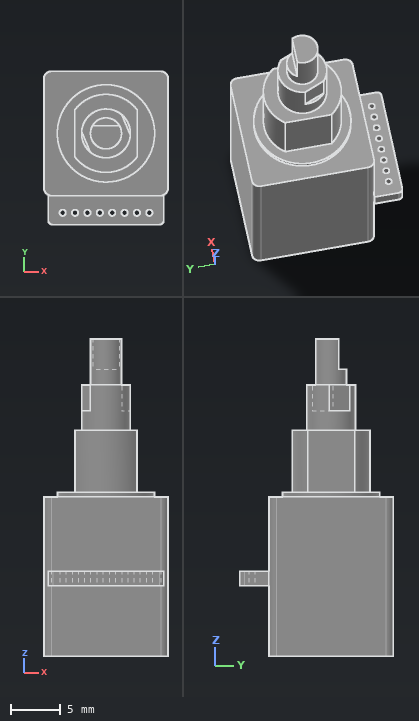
import cadquery as cq

body_side = 12.7
body_height = 16.25
body_corner_radius = 0.78

flange_diameter = 9.95
flange_height = 0.5
bushing_diameter = 7.95
bushing_across_flats = 6.35
bushing_height = 6.3
sleeve_diameter = 5.0
sleeve_height = 4.63
total_height = 32.38
shaft_diameter = 3.17

sleeve_across_flats = 4.45
sleeve_flat_length = 2.65
sleeve_flat_angle = 23.0
shaft_flat_depth = shaft_diameter / 4
shaft_flat_length = 3.1

board_width = 11.82
board_reach = 2.98
board_thickness = 1.5
board_bottom = 7.2
board_corner_radius = 0.5
hole_count = 8
hole_pitch = 1.25
hole_diameter = 0.6
hole_offset = 1.75

flange_top = body_height + flange_height
bushing_top = flange_top + bushing_height
sleeve_top = bushing_top + sleeve_height


def cylinder(diameter, bottom, top):
    return cq.Workplane("XY").workplane(offset=bottom).circle(diameter / 2).extrude(top - bottom)


def flatted_cylinder(diameter, across_flats, bottom, top):
    """Cylinder cut by two parallel flats facing +X and -X."""
    flat_slab = (
        cq.Workplane("XY")
        .workplane(offset=bottom)
        .rect(across_flats, diameter)
        .extrude(top - bottom)
    )
    return cylinder(diameter, bottom, top).intersect(flat_slab)


def make_body():
    body = cq.Workplane("XY").rect(body_side, body_side).extrude(body_height)
    return body.edges("|Z").fillet(body_corner_radius)


def make_sleeve():
    flat_bottom = sleeve_top - sleeve_flat_length
    round_part = cylinder(sleeve_diameter, bushing_top, flat_bottom)
    flat_part = flatted_cylinder(sleeve_diameter, sleeve_across_flats, flat_bottom, sleeve_top)
    flat_part = flat_part.rotate((0, 0, 0), (0, 0, 1), sleeve_flat_angle)
    return round_part.union(flat_part)


def make_shaft():
    """D-shaped shaft end with its flat facing +Y."""
    flat_cutter = cq.Workplane("XY").box(
        shaft_diameter, shaft_flat_depth, shaft_flat_length, centered=(True, False, False)
    )
    flat_y = shaft_diameter / 2 - shaft_flat_depth
    flat_bottom = total_height - shaft_flat_length
    return cylinder(shaft_diameter, sleeve_top, total_height).cut(
        flat_cutter.translate((0, flat_y, flat_bottom))
    )


def make_board():
    body_face_y = -body_side / 2
    board = (
        cq.Workplane("XY")
        .box(board_width, board_reach, board_thickness, centered=(True, False, False))
        .translate((0, body_face_y - board_reach, board_bottom))
        .edges("|Z and <Y")
        .fillet(board_corner_radius)
    )
    holes = (
        cq.Workplane("XY")
        .workplane(offset=board_bottom)
        .center(0, body_face_y - hole_offset)
        .rarray(hole_pitch, 0.32, hole_count, 1)
        .circle(hole_diameter / 2)
        .extrude(board_thickness)
    )
    return board.cut(holes)


result = (
    make_body()
    .union(cylinder(flange_diameter, body_height, flange_top))
    .union(flatted_cylinder(bushing_diameter, bushing_across_flats, flange_top, bushing_top))
    .union(make_sleeve())
    .union(make_shaft())
    .union(make_board())
)